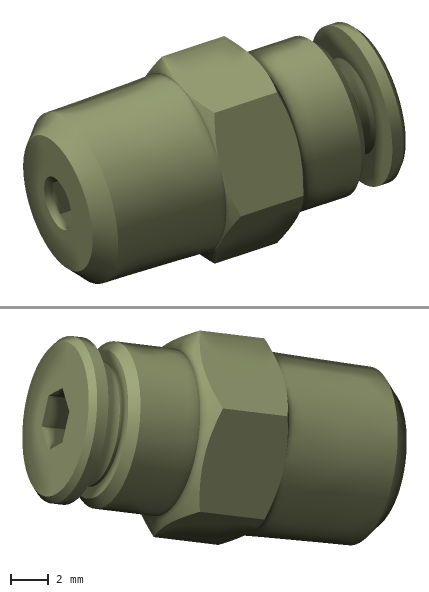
import cadquery as cq
import math

total_length = 18.89

thread_tip_radius = 4.8
thread_root_radius = 4.97
thread_chamfer = 1.0

hex_flats = 10.0
hex_start = 7.5
hex_end = 12.49
hex_chamfer_angle = 30.0

body_radius = 4.5
body_end = 16.5
body_chamfer = 0.5

collar_radius = 3.36
collar_end = 16.68
neck_radius = 2.45
neck_start = 17.17
neck_flare = 0.23
flange_thickness = 1.0
flange_chamfer = 0.34
flange_radius = body_radius
flange_start = total_length - flange_thickness

bore_flats = 3.0
mouth_depth = 0.51


def hex_prism(flats, start, end):
    """Hexagonal prism along Y with corners on the X axis."""
    corner_diameter = flats / math.cos(math.radians(30))
    plane = cq.Workplane("XZ", origin=(0, start, 0))
    return plane.polygon(6, corner_diameter).extrude(start - end)


def revolve_profile(points):
    """Revolve a closed (radius, Y) outline about the Y axis."""
    return cq.Workplane("XY").polyline(points).close().revolve(360, (0, 0, 0), (0, 1, 0))


def threaded_end():
    return revolve_profile([
        (0, 0),
        (thread_tip_radius - thread_chamfer, 0),
        (thread_tip_radius, thread_chamfer),
        (thread_root_radius, hex_start),
        (0, hex_start),
    ])


def chamfered_nut():
    """Hexagon with its corners trimmed by a cone at each end."""
    corner_radius = hex_flats / 2 / math.cos(math.radians(30))
    slope = math.tan(math.radians(hex_chamfer_angle))
    lower_face_radius = hex_flats / 2
    lower_drop = (corner_radius - lower_face_radius) * slope
    upper_drop = (corner_radius - body_radius) * slope
    envelope = revolve_profile([
        (0, hex_start),
        (lower_face_radius, hex_start),
        (corner_radius, hex_start + lower_drop),
        (corner_radius, hex_end - upper_drop),
        (body_radius, hex_end),
        (0, hex_end),
    ])
    return hex_prism(hex_flats, hex_start, hex_end).intersect(envelope)


def body_and_sleeve():
    return revolve_profile([
        (0, hex_end),
        (body_radius, hex_end),
        (body_radius, body_end - body_chamfer),
        (body_radius - body_chamfer, body_end),
        (collar_radius, body_end),
        (collar_radius, collar_end),
        (neck_radius, neck_start),
        (neck_radius, flange_start - neck_flare),
        (neck_radius + neck_flare, flange_start),
        (flange_radius, flange_start),
        (flange_radius, total_length - flange_chamfer),
        (flange_radius - flange_chamfer, total_length),
        (0, total_length),
    ])


def passage():
    mouth = cq.Workplane("XZ").circle(bore_flats / 2).extrude(-mouth_depth)
    return mouth.union(hex_prism(bore_flats, mouth_depth, total_length))


outside = threaded_end().union(chamfered_nut()).union(body_and_sleeve())
result = outside.cut(passage())